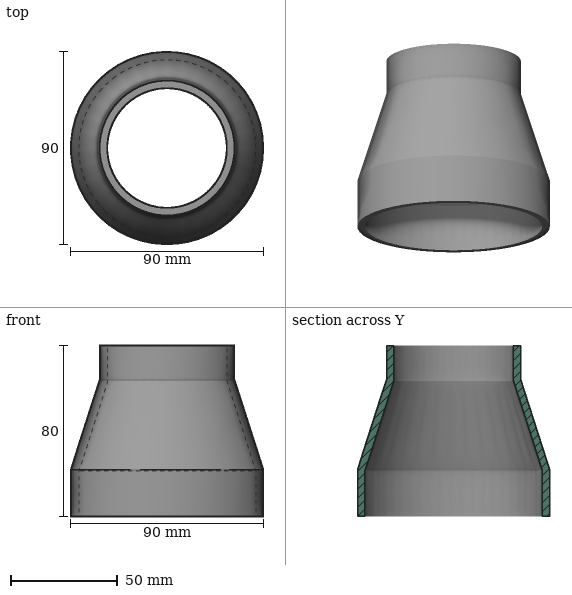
import cadquery as cq
import math

wide_diameter = 90.0
wide_length = 22.0
narrow_diameter = 63.0
narrow_length = 16.0
total_height = 80.0
wall = 3.6

wide_radius = wide_diameter / 2
narrow_radius = narrow_diameter / 2
cone_bottom = wide_length
cone_top = total_height - narrow_length

cone_half_angle = math.atan2(wide_radius - narrow_radius, cone_top - cone_bottom)
corner_drop = wall * math.tan(cone_half_angle / 2)


def spigots_and_cone(inset, drop):
    """Solid of revolution about Z, narrowed by inset, with both cone ends lowered by drop."""
    profile = [
        (0, 0),
        (wide_radius - inset, 0),
        (wide_radius - inset, cone_bottom - drop),
        (narrow_radius - inset, cone_top - drop),
        (narrow_radius - inset, total_height),
        (0, total_height),
    ]
    return cq.Workplane("XZ").polyline(profile).close().revolve(360, (0, 0), (0, 1))


outside = spigots_and_cone(0, 0)
bore = spigots_and_cone(wall, corner_drop)

result = outside.cut(bore)